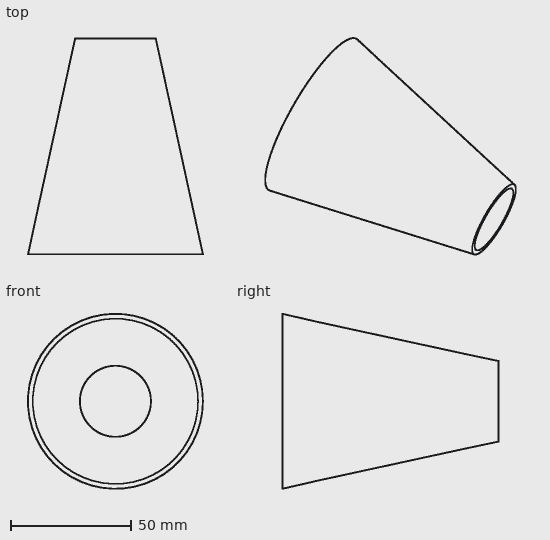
import cadquery as cq

length = 90.0
wide_outer_diameter = 73.0
narrow_outer_diameter = 33.7
radial_wall = 2.1

wide_outer_radius = wide_outer_diameter / 2
narrow_outer_radius = narrow_outer_diameter / 2
wide_end_y = -length / 2
narrow_end_y = length / 2

wall_section = (
    cq.Workplane("XY")
    .moveTo(wide_outer_radius - radial_wall, wide_end_y)
    .lineTo(wide_outer_radius, wide_end_y)
    .lineTo(narrow_outer_radius, narrow_end_y)
    .lineTo(narrow_outer_radius - radial_wall, narrow_end_y)
    .close()
)

result = wall_section.revolve(360, (0, 0, 0), (0, 1, 0))